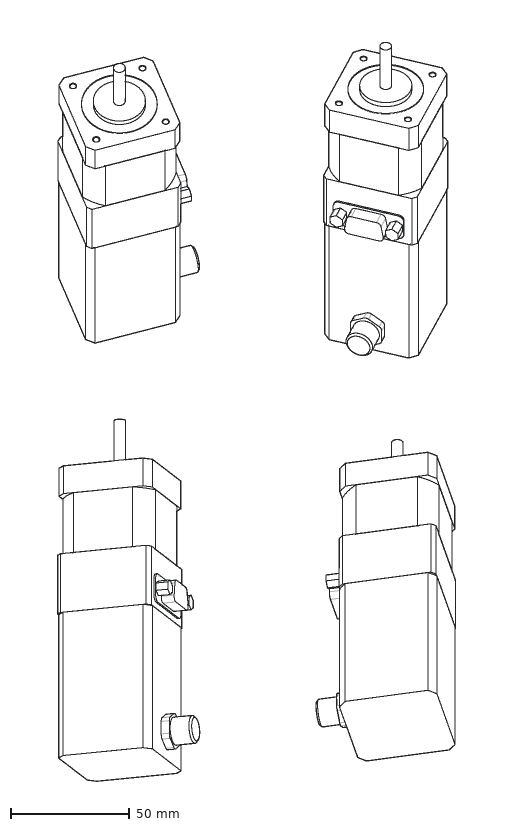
import cadquery as cq
import math

MOTOR_WIDTH = 42.1
ENCODER_WIDTH = 42.0
FLANGE_WIDTH = 42.0
MOTOR_BACK = MOTOR_WIDTH / 2
ENCODER_BACK = ENCODER_WIDTH / 2

MOTOR_TOP = 63.0
ENCODER_TOP = 88.8
GEARBOX_TOP = 115.0
FLANGE_TOP = 127.3
BOSS_TOP = 129.1
SHAFT_TOP = 151.0

FRAME_CHAMFER = 3.2
ENCODER_CHAMFER = 1.8

GEARBOX_WIDTH = 41.7
GEARBOX_CORNER_DIAMETER = 49.4

SHAFT_DIAMETER = 5.0
BOSS_DIAMETER = 22.0
RECESS_DIAMETER = 32.0
RECESS_DEPTH = 0.5

HOLE_SPACING = 31.0
HOLE_DIAMETER = 2.5
HOLE_MOUTH_DIAMETER = 3.0
HOLE_DEPTH = 7.5
DRILL_TIP_ANGLE = 118.0

POWER_Z = 12.2
NUT_ACROSS_FLATS = 14.0
NUT_THICKNESS = 3.6
NUT_CORNER_RADIUS = 2.3
BARREL_DIAMETER = 12.0
BARREL_LENGTH = 9.4
BARREL_CHAMFER = 0.9

SIGNAL_Z = 71.9
PLATE_WIDTH = 31.5
PLATE_HEIGHT = 12.4
PLATE_CORNER_RADIUS = 2.5
PLATE_FACE = 21.7
SHELL_FACE = 27.5
SHELL_TOP_WIDTH = 14.8
SHELL_HEIGHT = 9.8
SHELL_SIDE_ANGLE = 10.0
SHELL_CORNER_RADIUS = 2.1
JACK_SPACING = 25.0
JACK_ACROSS_FLATS = 5.6
LEFT_JACK_FACE = SHELL_FACE
RIGHT_JACK_FACE = 27.0


def chamfered_block(width, bottom, top, chamfer):
    """Square block on the shaft axis with chamfered upright edges."""
    return (
        cq.Workplane("XY")
        .workplane(offset=bottom)
        .rect(width, width)
        .extrude(top - bottom)
        .edges("|Z")
        .chamfer(chamfer)
    )


def cylinder(diameter, bottom, top):
    """Upright cylinder on the shaft axis."""
    return cq.Workplane("XY").workplane(offset=bottom).circle(diameter / 2).extrude(top - bottom)


def rear_plane(x, y, z):
    """Workplane facing +Y whose local axes run along -X and +Z."""
    return cq.Workplane(cq.Plane(origin=(x, y, z), xDir=(-1, 0, 0), normal=(0, 1, 0)))


def hexagon_points(across_flats):
    """Corners of a hexagon with one corner pointing up."""
    corner_radius = across_flats / math.sqrt(3)
    angles = [math.radians(90 + 60 * side) for side in range(6)]
    return [(corner_radius * math.cos(a), corner_radius * math.sin(a)) for a in angles]


def rear_hexagon(x, z, across_flats, start, end):
    """Hexagonal prism standing on the rear of the part."""
    return rear_plane(x, start, z).polyline(hexagon_points(across_flats)).close().extrude(end - start)


def gearbox():
    """Square body whose corners are turned to a larger circle."""
    square = (
        cq.Workplane("XY")
        .workplane(offset=ENCODER_TOP)
        .rect(GEARBOX_WIDTH, GEARBOX_WIDTH)
        .extrude(GEARBOX_TOP - ENCODER_TOP)
    )
    return square.intersect(cylinder(GEARBOX_CORNER_DIAMETER, ENCODER_TOP, GEARBOX_TOP))


def mounting_hole_cutter():
    """Blind hole with a chamfered mouth and a conical drill tip, opening at Z = 0."""
    radius = HOLE_DIAMETER / 2
    mouth_radius = HOLE_MOUTH_DIAMETER / 2
    tip = radius / math.tan(math.radians(DRILL_TIP_ANGLE / 2))
    profile = [
        (0, 0),
        (mouth_radius, 0),
        (radius, radius - mouth_radius),
        (radius, -HOLE_DEPTH),
        (0, -HOLE_DEPTH - tip),
    ]
    return cq.Workplane("XZ").polyline(profile).close().revolve(360, (0, 0), (0, 1))


def flange():
    """Front flange with a shallow recess and four blind mounting holes."""
    plate = chamfered_block(FLANGE_WIDTH, GEARBOX_TOP, FLANGE_TOP, FRAME_CHAMFER)
    plate = plate.cut(cylinder(RECESS_DIAMETER, FLANGE_TOP - RECESS_DEPTH, FLANGE_TOP))
    cutter = mounting_hole_cutter()
    for x in (-HOLE_SPACING / 2, HOLE_SPACING / 2):
        for y in (-HOLE_SPACING / 2, HOLE_SPACING / 2):
            plate = plate.cut(cutter.translate((x, y, FLANGE_TOP)))
    return plate


def power_connector():
    """Rounded hexagon nut carrying a round barrel."""
    nut_face = MOTOR_BACK + NUT_THICKNESS
    nut = rear_hexagon(0, POWER_Z, NUT_ACROSS_FLATS, MOTOR_BACK, nut_face)
    nut = nut.edges("|Y").fillet(NUT_CORNER_RADIUS)
    barrel = (
        rear_plane(0, nut_face, POWER_Z)
        .circle(BARREL_DIAMETER / 2)
        .extrude(BARREL_LENGTH)
        .faces(">Y")
        .chamfer(BARREL_CHAMFER)
    )
    return nut.union(barrel)


def signal_connector():
    """Mounting plate with a D-shaped shell between two hexagonal jack posts."""
    plate = (
        rear_plane(0, ENCODER_BACK, SIGNAL_Z)
        .rect(PLATE_WIDTH, PLATE_HEIGHT)
        .extrude(PLATE_FACE - ENCODER_BACK)
        .edges("|Y")
        .fillet(PLATE_CORNER_RADIUS)
    )
    half_top = SHELL_TOP_WIDTH / 2
    half_bottom = half_top + SHELL_HEIGHT * math.tan(math.radians(SHELL_SIDE_ANGLE))
    half_height = SHELL_HEIGHT / 2
    shell = (
        rear_plane(0, PLATE_FACE, SIGNAL_Z)
        .polyline([
            (-half_bottom, -half_height),
            (half_bottom, -half_height),
            (half_top, half_height),
            (-half_top, half_height),
        ])
        .close()
        .extrude(SHELL_FACE - PLATE_FACE)
        .edges("|Y")
        .fillet(SHELL_CORNER_RADIUS)
    )
    connector = plate.union(shell)
    for x, face in ((-JACK_SPACING / 2, LEFT_JACK_FACE), (JACK_SPACING / 2, RIGHT_JACK_FACE)):
        connector = connector.union(rear_hexagon(x, SIGNAL_Z, JACK_ACROSS_FLATS, PLATE_FACE, face))
    return connector


result = (
    chamfered_block(MOTOR_WIDTH, 0, MOTOR_TOP, FRAME_CHAMFER)
    .union(chamfered_block(ENCODER_WIDTH, MOTOR_TOP, ENCODER_TOP, ENCODER_CHAMFER))
    .union(gearbox())
    .union(flange())
    .union(cylinder(BOSS_DIAMETER, FLANGE_TOP - RECESS_DEPTH, BOSS_TOP))
    .union(cylinder(SHAFT_DIAMETER, BOSS_TOP, SHAFT_TOP))
    .union(power_connector())
    .union(signal_connector())
)